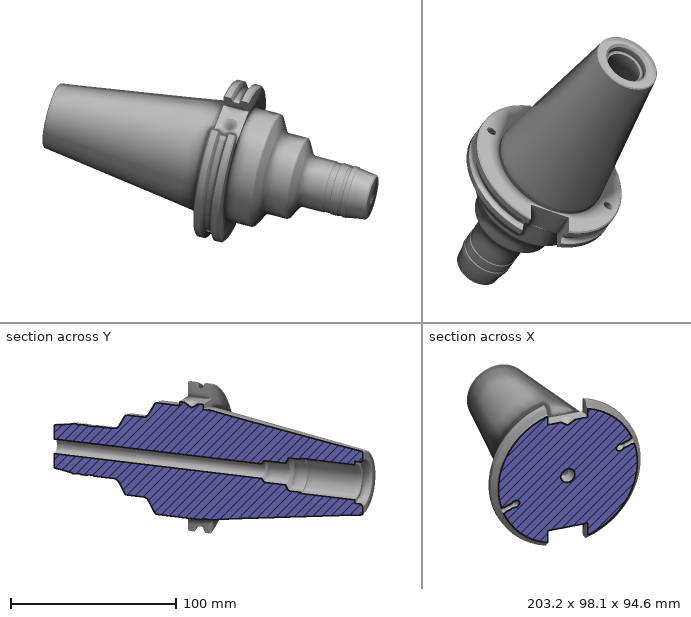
import cadquery as cq
import math


overall_length = 203.2
gauge_plane_x = 101.5
gauge_dia = 70.0
taper_rate = 7 / 24
small_end_dia = gauge_dia - gauge_plane_x * taper_rate
small_end_chamfer = 0.6

neck_dia = 69.3
neck_end_bevel = 0.5

neck_root_fillet = 0.5
body_root_fillet = 0.5

flange_dia = 98.1
flange_start_x = 104.9
flange_end_x = 120.7
flange_rear_chamfer = 0.8
flange_front_chamfer = 1.0
groove_center_x = 112.8
groove_floor_width = 3.7
groove_floor_dia = 91.2
groove_wall_angle = 25.0

slot_width = 25.8
upper_slot_floor_height = 37.8
lower_slot_floor_height = 35.4

dimple_dia = 9.5
drill_point_angle = 118.0

coolant_hole_angle = 20.0
coolant_entry_radius = 42.0
coolant_tilt = 35.0
coolant_mouth_dia = 5.0
coolant_mouth_depth = 2.5
coolant_inner_dia = 4.3
coolant_length = 20.3
cross_mouth_dia = 4.0
cross_mouth_depth = 1.6
cross_inner_dia = 3.3

body_dia = 70.7
body_corner_x = 136.5
middle_dia = 50.8
middle_corner_x = 156.3
shoulder_slope = 60.0
outer_shoulder_fillet = 2.0
body_inner_fillet = 3.0
middle_inner_fillet = 3.7

nose_dia = 32.0
nose_groove_dia = 31.0
wide_groove_x = 176.8
wide_groove_width = 4.5
narrow_groove_x = 186.0
narrow_groove_width = 2.5
tip_start_x = 191.0
tip_dia = 27.8
tip_chamfer = 0.8

counterbore_dia = 26.2
counterbore_depth = 5.3
counterbore_chamfer = 1.5
thread_bore_dia = 22.0
thread_bore_depth = 40.6
core_bore_dia = 20.5
core_bore_depth = 48.8
pilot_bore_dia = 13.5
pilot_bore_depth = 65.0
through_dia = 9.0


def revolve_about_x(profile):
    return profile.close().revolve(360, (0, 0, 0), (1, 0, 0))


def cylinder_along_x(dia, start_x, end_x):
    return cq.Workplane("YZ", origin=(start_x, 0, 0)).circle(dia / 2).extrude(end_x - start_x)


def cone_depth(large_dia, small_dia):
    """Axial length of a drill-point cone between two diameters."""
    return (large_dia - small_dia) / 2 / math.tan(math.radians(drill_point_angle / 2))


def make_taper():
    small_radius = small_end_dia / 2
    chamfer_radius = small_radius + small_end_chamfer * taper_rate / 2
    return revolve_about_x(
        cq.Workplane("XY")
        .lineTo(0, small_radius - small_end_chamfer)
        .lineTo(small_end_chamfer, chamfer_radius)
        .lineTo(gauge_plane_x, gauge_dia / 2)
        .lineTo(gauge_plane_x + neck_end_bevel, neck_dia / 2)
        .lineTo(gauge_plane_x + neck_end_bevel, 0)
    )


def make_flange():
    outer_radius = flange_dia / 2
    floor_radius = groove_floor_dia / 2
    half_floor = groove_floor_width / 2
    wall_run = (outer_radius - floor_radius) * math.tan(math.radians(groove_wall_angle))
    half_mouth = half_floor + wall_run
    return revolve_about_x(
        cq.Workplane("XY")
        .moveTo(flange_start_x, 0)
        .lineTo(flange_start_x, outer_radius - flange_rear_chamfer)
        .lineTo(flange_start_x + flange_rear_chamfer, outer_radius)
        .lineTo(groove_center_x - half_mouth, outer_radius)
        .lineTo(groove_center_x - half_floor, floor_radius)
        .lineTo(groove_center_x + half_floor, floor_radius)
        .lineTo(groove_center_x + half_mouth, outer_radius)
        .lineTo(flange_end_x - flange_front_chamfer, outer_radius)
        .lineTo(flange_end_x, outer_radius - flange_front_chamfer)
        .lineTo(flange_end_x, 0)
    )


def shoulder(outer_dia, inner_dia, start_x, corner_x, inner_fillet):
    """Cylinder closing to a smaller diameter over a sloped, blended shoulder."""
    run = (outer_dia - inner_dia) / 2 / math.tan(math.radians(shoulder_slope))
    foot_x = corner_x + run
    tail_length = 2 * inner_fillet
    end_x = foot_x + tail_length
    body = revolve_about_x(
        cq.Workplane("XY")
        .moveTo(start_x, 0)
        .lineTo(start_x, outer_dia / 2)
        .lineTo(corner_x, outer_dia / 2)
        .lineTo(foot_x, inner_dia / 2)
        .lineTo(end_x, inner_dia / 2)
        .lineTo(end_x, 0)
    )
    crest_edge = cq.selectors.NearestToPointSelector((corner_x, 0, 0))
    foot_edge = cq.selectors.NearestToPointSelector((foot_x, 0, 0))
    return body.edges(crest_edge).fillet(outer_shoulder_fillet).edges(foot_edge).fillet(inner_fillet)


def make_nose():
    """Nose cylinder whose groove walls and tip step all slope at 45 degrees."""
    nose_radius = nose_dia / 2
    groove_radius = nose_groove_dia / 2
    tip_radius = tip_dia / 2
    wall_run = nose_radius - groove_radius
    profile = cq.Workplane("XY").moveTo(middle_corner_x, 0).lineTo(middle_corner_x, nose_radius)
    for start_x, width in ((wide_groove_x, wide_groove_width), (narrow_groove_x, narrow_groove_width)):
        profile = (
            profile.lineTo(start_x, nose_radius)
            .lineTo(start_x + wall_run, groove_radius)
            .lineTo(start_x + width - wall_run, groove_radius)
            .lineTo(start_x + width, nose_radius)
        )
    return revolve_about_x(
        profile.lineTo(tip_start_x, nose_radius)
        .lineTo(tip_start_x + wall_run, groove_radius)
        .lineTo(overall_length - tip_chamfer, tip_radius)
        .lineTo(overall_length, tip_radius - tip_chamfer)
        .lineTo(overall_length, 0)
    )


def drive_slot(floor_height, side):
    """Slot across the flange; side is +1 for the top of the flange, -1 for the bottom."""
    height = flange_dia / 2
    slot_length = flange_end_x - flange_start_x
    slot_center = (flange_start_x + slot_length / 2, 0, side * (floor_height + height / 2))
    return cq.Workplane("XY").box(slot_length, slot_width, height).translate(slot_center)


def make_dimple():
    return cq.Workplane(
        cq.Solid.makeCone(
            dimple_dia / 2,
            0,
            cone_depth(dimple_dia, 0),
            cq.Vector(groove_center_x, 0, upper_slot_floor_height),
            cq.Vector(0, 0, -1),
        )
    )


def stepped_hole(start, direction, mouth_dia, mouth_depth, inner_dia, inner_depth):
    """Two coaxial cylinders; the mouth also extends outward to clear the entry surface."""
    clearance = mouth_dia
    mouth = cq.Solid.makeCylinder(
        mouth_dia / 2, clearance + mouth_depth, start - direction * clearance, direction
    )
    inner = cq.Solid.makeCylinder(inner_dia / 2, inner_depth, start, direction)
    return cq.Workplane(mouth).union(cq.Workplane(inner))


def coolant_passage(angle):
    tilt = math.radians(coolant_tilt)
    crossing_radius = coolant_entry_radius - (groove_center_x - flange_start_x) * math.tan(tilt)
    floor_radius = groove_floor_dia / 2
    sloping_hole = stepped_hole(
        cq.Vector(flange_start_x, coolant_entry_radius, 0),
        cq.Vector(math.cos(tilt), -math.sin(tilt), 0),
        coolant_mouth_dia,
        coolant_mouth_depth,
        coolant_inner_dia,
        coolant_length,
    )
    cross_hole = stepped_hole(
        cq.Vector(groove_center_x, floor_radius, 0),
        cq.Vector(0, -1, 0),
        cross_mouth_dia,
        cross_mouth_depth,
        cross_inner_dia,
        floor_radius - crossing_radius,
    )
    return sloping_hole.union(cross_hole).rotate((0, 0, 0), (1, 0, 0), angle)


def root_blend(dia, face_x, fillet, direction):
    """Concave ring between a cylinder and a flange face; direction is +1 or -1 along X."""
    radius = dia / 2
    reach = direction * fillet
    arc_middle = 1 - math.sqrt(0.5)
    return revolve_about_x(
        cq.Workplane("XY")
        .moveTo(face_x, radius - fillet)
        .lineTo(face_x, radius + fillet)
        .threePointArc(
            (face_x + reach * arc_middle, radius + fillet * arc_middle),
            (face_x + reach, radius),
        )
        .lineTo(face_x + reach, radius - fillet)
    )


def make_bore():
    core_cone_end = core_bore_depth + cone_depth(core_bore_dia, pilot_bore_dia)
    pilot_cone_end = pilot_bore_depth + cone_depth(pilot_bore_dia, through_dia)
    return revolve_about_x(
        cq.Workplane("XY")
        .lineTo(0, counterbore_dia / 2 + counterbore_chamfer)
        .lineTo(counterbore_chamfer, counterbore_dia / 2)
        .lineTo(counterbore_depth, counterbore_dia / 2)
        .lineTo(counterbore_depth, thread_bore_dia / 2)
        .lineTo(thread_bore_depth, thread_bore_dia / 2)
        .lineTo(thread_bore_depth, core_bore_dia / 2)
        .lineTo(core_bore_depth, core_bore_dia / 2)
        .lineTo(core_cone_end, pilot_bore_dia / 2)
        .lineTo(pilot_bore_depth, pilot_bore_dia / 2)
        .lineTo(pilot_cone_end, through_dia / 2)
        .lineTo(overall_length, through_dia / 2)
        .lineTo(overall_length, 0)
    )


flange = (
    make_flange()
    .cut(drive_slot(upper_slot_floor_height, 1))
    .cut(drive_slot(lower_slot_floor_height, -1))
    .cut(make_dimple())
)

result = (
    make_taper()
    .union(cylinder_along_x(neck_dia, gauge_plane_x, flange_start_x))
    .union(flange)
    .union(root_blend(neck_dia, flange_start_x, neck_root_fillet, -1))
    .union(shoulder(body_dia, middle_dia, flange_end_x, body_corner_x, body_inner_fillet))
    .union(shoulder(middle_dia, nose_dia, body_corner_x, middle_corner_x, middle_inner_fillet))
    .union(root_blend(body_dia, flange_end_x, body_root_fillet, 1))
    .union(make_nose())
    .cut(make_bore())
)
for passage_angle in (coolant_hole_angle, coolant_hole_angle + 180):
    result = result.cut(coolant_passage(passage_angle))